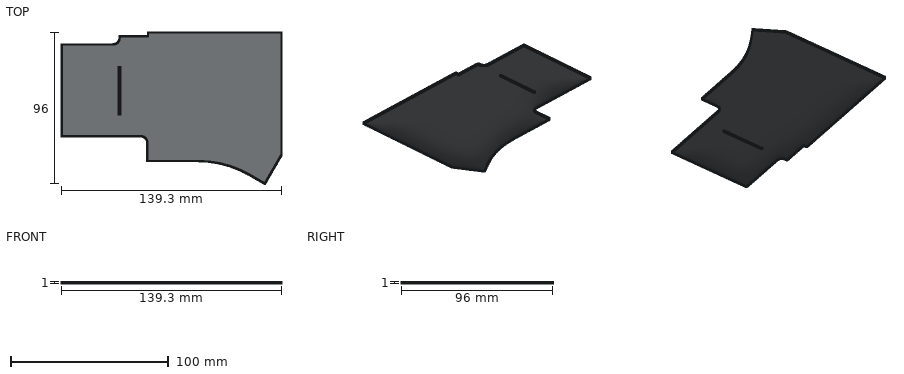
import cadquery as cq
import math

length = 139.3
width = 96.0
thickness = 1.0

tab_bottom = 30.1
tab_top = 88.5
corner_radius = 4.0

upper_notch_x = 36.6
upper_step_x = 54.6
upper_step_y = 93.6
lower_step_x = 54.2
lower_edge_y = 14.3

sweep_angle = math.radians(30)
sweep_radius = 65.0
end_cut_height = 18.2
tip_x = length - end_cut_height * math.tan(sweep_angle)

slot_width = 1.0
slot_length = 30.0
slot_x = 36.6
slot_y = 59.0


def sweep_point(start_x, angle):
    """Point on the swept arc after turning by the given angle."""
    return (
        start_x + sweep_radius * math.sin(angle),
        lower_edge_y - sweep_radius * (1 - math.cos(angle)),
    )


def make_plate():
    arc_drop = sweep_radius * (1 - math.cos(sweep_angle))
    straight_run = (lower_edge_y - arc_drop) / math.tan(sweep_angle)
    sweep_start_x = tip_x - straight_run - sweep_radius * math.sin(sweep_angle)
    return (
        cq.Workplane("XY")
        .moveTo(0, tab_bottom)
        .lineTo(lower_step_x - corner_radius, tab_bottom)
        .radiusArc((lower_step_x, tab_bottom - corner_radius), corner_radius)
        .lineTo(lower_step_x, lower_edge_y)
        .lineTo(sweep_start_x, lower_edge_y)
        .threePointArc(
            sweep_point(sweep_start_x, sweep_angle / 2),
            sweep_point(sweep_start_x, sweep_angle),
        )
        .lineTo(tip_x, 0)
        .lineTo(length, end_cut_height)
        .lineTo(length, width)
        .lineTo(upper_step_x, width)
        .lineTo(upper_step_x, upper_step_y)
        .lineTo(upper_notch_x, upper_step_y)
        .lineTo(upper_notch_x, tab_top + corner_radius)
        .radiusArc((upper_notch_x - corner_radius, tab_top), corner_radius)
        .lineTo(0, tab_top)
        .close()
        .extrude(thickness)
    )


def make_slot():
    return (
        cq.Workplane("XY")
        .center(slot_x, slot_y)
        .rect(slot_width, slot_length)
        .extrude(thickness)
    )


result = make_plate().cut(make_slot())